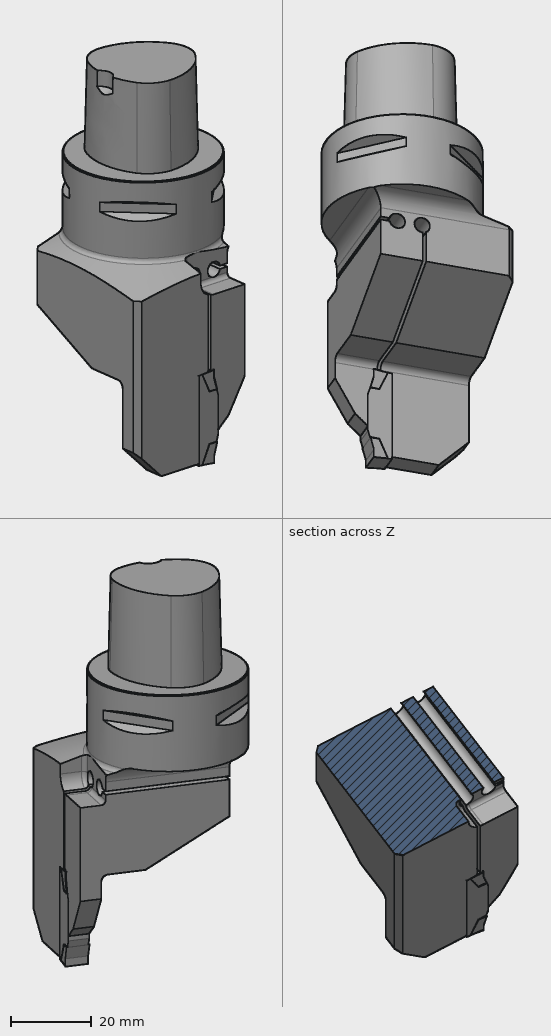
import cadquery as cq
import math


overall_length = 99

shank_height = 24.0
shank_base_radius = 14.1
lobe_eccentricity = 0.8
taper_ratio = 20
lobe_half_angle = 20

notch_radius = 3.4
notch_center_y = -14.2
notch_depth = 4.3
notch_point_angle = 120

flange_radius = 20.0
flange_height = 20.0
flange_chamfer = 0.3
groove_center_z = -8.0
groove_floor_distance = 17.6
groove_floor_height = 2.5
groove_mouth_height = 5.1
groove_count = 4

head_left = -12.6
blade_right = 26.7
head_front = -25.0
head_back = 10.1
head_bottom = -48.4
flare_radius = 4.0
slope_start_z = -37.0
slope_end_x = 9.6
front_chamfer = 1.5

shoulder_angle = 15
shoulder_top = -21.4
neck_fillet = 1.3

blade_left = 21.2
blade_middle_x = (blade_left + blade_right) / 2
blade_root_fillet = 1.7
blade_bottom = -74.1
blade_front_chamfer = 7.9
blade_back_points = [(head_back, -54.5), (4.9, -63.6), (1.7, -66.3)]

relief_left = 20.1
relief_front = -4.3
relief_floor = -30.0
relief_fillet = 4.2
relief_wall_fillet = 1.2

hole_diameter = 4.1
hole_z = -26.9
inner_hole_y = -0.8
outer_hole_y = 5.7
slot_width = 0.9
slot_center_y = -1.4

insert_front = -4.9
insert_back = 1.5
insert_top = -50.1
insert_bottom = shank_height - overall_length
insert_tip_y = 0.0
insert_tip_length = 2.2
insert_neck_y = 0.9
insert_head_length = 5.4
insert_edge_rise = 0.4
insert_shank_inset = 7.3
head_inner_y = -1.5
head_root_y = -3.8
cutting_width = 6.1

clearance = 4.95


def shank_outline(mean_radius, z):
    """Closed three-lobed outline of six arcs, with one lobe pointing to +Y."""

    def point(angle_degrees):
        angle = math.radians(angle_degrees)
        x = mean_radius * math.sin(angle) - lobe_eccentricity * math.sin(2 * angle)
        y = mean_radius * math.cos(angle) + lobe_eccentricity * math.cos(2 * angle)
        return (x, y)

    outline = cq.Workplane("XY", origin=(0, 0, z)).moveTo(*point(-lobe_half_angle))
    for lobe_center in (0, 120, 240):
        outline = outline.threePointArc(point(lobe_center), point(lobe_center + lobe_half_angle))
        outline = outline.threePointArc(point(lobe_center + 60), point(lobe_center + 120 - lobe_half_angle))
    return outline.close().wire().val()


def make_notch():
    """Drill bore with a conical end, cutting the front edge of the shank's top."""
    point_depth = notch_radius / math.tan(math.radians(notch_point_angle / 2))
    profile = [
        (0, clearance),
        (notch_radius, clearance),
        (notch_radius, -notch_depth),
        (0, -notch_depth - point_depth),
    ]
    drill = cq.Workplane("XZ").polyline(profile).close().revolve(360, (0, 0), (0, 1))
    return drill.translate((0, notch_center_y, shank_height))


def make_shank():
    """Polygon shank tapering upward, with its drilled notch."""
    top_radius = shank_base_radius - shank_height / taper_ratio / 2
    base = shank_outline(shank_base_radius, 0)
    top = shank_outline(top_radius, shank_height)
    return cq.Workplane(cq.Solid.makeLoft([base, top], True)).cut(make_notch())


def make_flange():
    """Cylindrical flange with V-sided gripper grooves cut across it at the diagonals."""
    flange = cq.Workplane("XY").circle(flange_radius).extrude(-flange_height)
    flange = flange.faces(">Z").edges().chamfer(flange_chamfer)
    half_floor = groove_floor_height / 2
    half_mouth = groove_mouth_height / 2
    groove = (
        cq.Workplane("XZ")
        .polyline([
            (groove_floor_distance, half_floor),
            (flange_radius, half_mouth),
            (flange_radius, -half_mouth),
            (groove_floor_distance, -half_floor),
        ])
        .close()
        .extrude(flange_radius, both=True)
        .translate((0, 0, groove_center_z))
    )
    for i in range(groove_count):
        angle = 360 / groove_count * (i + 0.5)
        flange = flange.cut(groove.rotate((0, 0, 0), (0, 0, 1), angle))
    return flange


def flare_arc_middle(wall, outward):
    """Point halfway along the flare from the flange underside into a vertical wall."""
    offset = flare_radius * (1 - math.sqrt(0.5))
    return (wall + outward * offset, -flange_height - offset)


def make_front_prism():
    """Head and blade outline in X and Z, extruded through the depth of the head."""
    flare_bottom = -flange_height - flare_radius
    prism = (
        cq.Workplane("XZ")
        .moveTo(head_left - flare_radius, -flange_height)
        .threePointArc(flare_arc_middle(head_left, -1), (head_left, flare_bottom))
        .lineTo(head_left, slope_start_z)
        .lineTo(slope_end_x, head_bottom)
        .lineTo(blade_left - blade_root_fillet, head_bottom)
        .radiusArc((blade_left, head_bottom - blade_root_fillet), blade_root_fillet)
        .lineTo(blade_left, blade_bottom)
        .lineTo(blade_right, blade_bottom)
        .lineTo(blade_right, -flange_height)
        .close()
        .extrude(2 * flange_radius, both=True)
    )
    return prism


def make_side_prism():
    """Head and blade outline in Y and Z, extruded through the width of the head."""
    flare_bottom = -flange_height - flare_radius
    prism = (
        cq.Workplane("YZ")
        .moveTo(head_back + flare_radius, -flange_height)
        .threePointArc(flare_arc_middle(head_back, 1), (head_back, flare_bottom))
    )
    for point in blade_back_points:
        prism = prism.lineTo(*point)
    prism = (
        prism
        .lineTo(insert_front, blade_bottom)
        .lineTo(head_front + blade_front_chamfer, blade_bottom)
        .lineTo(head_front, blade_bottom + blade_front_chamfer)
        .lineTo(head_front, -flange_height)
        .close()
        .extrude(2 * flange_radius, both=True)
    )
    return prism


def make_front_chamfer(corner_x, inward):
    """Triangular prism that breaks one upright front corner; inward is the X direction into the head."""
    reach = front_chamfer + clearance
    return (
        cq.Workplane("XY")
        .polyline([
            (corner_x + inward * reach, head_front - clearance),
            (corner_x - inward * clearance, head_front + reach),
            (corner_x - inward * clearance, head_front - clearance),
        ])
        .close()
        .extrude(blade_bottom)
    )


def make_shoulder():
    """Turned envelope of the head: the neck, then a cone falling outward from it."""
    outer_radius = 2 * flange_radius
    cone_drop = (outer_radius - flange_radius) * math.tan(math.radians(shoulder_angle))
    profile = [
        (0, -flange_height),
        (flange_radius, -flange_height),
        (flange_radius, shoulder_top),
        (outer_radius, shoulder_top - cone_drop),
        (outer_radius, blade_bottom),
        (0, blade_bottom),
    ]
    shoulder = cq.Workplane("XZ").polyline(profile).close().revolve(360, (0, 0), (0, 1))
    neck_edge = cq.selectors.RadiusNthSelector(0)
    return shoulder.edges("%CIRCLE").edges(neck_edge).edges("<Z").fillet(neck_fillet)


def make_relief():
    """Pocket that lowers the head behind the blade, with rounded inner corners."""
    size_x = blade_right + clearance - relief_left
    size_y = head_back + 2 * clearance - relief_front
    relief = (
        cq.Workplane("XY", origin=(relief_left, relief_front, relief_floor))
        .box(size_x, size_y, -flange_height - relief_floor + clearance, centered=False)
    )
    relief = relief.edges("|X and <Y and <Z").fillet(relief_fillet)
    return relief.faces("<X").edges().fillet(relief_wall_fillet)


def make_jaw_cuts():
    """Two flexure holes with their slots: one to the back face, one down to the insert."""
    through = 4 * flange_radius
    holes = (
        cq.Workplane("YZ")
        .pushPoints([(inner_hole_y, hole_z), (outer_hole_y, hole_z)])
        .circle(hole_diameter / 2)
        .extrude(through, both=True)
    )
    back_end = head_back + clearance
    back_slot = cq.Workplane("XY").box(through, back_end - outer_hole_y, slot_width)
    back_slot = back_slot.translate((0, (back_end + outer_hole_y) / 2, hole_z))
    down_slot = cq.Workplane("XY").box(through, slot_width, hole_z - insert_top)
    down_slot = down_slot.translate((0, slot_center_y, (hole_z + insert_top) / 2))
    return holes.union(back_slot).union(down_slot)


def make_holder(insert):
    """Shank, flange, head and blade in one piece, with a seat that fits the insert."""
    head = make_front_prism().intersect(make_side_prism()).intersect(make_shoulder())
    head = head.cut(make_front_chamfer(head_left, 1)).cut(make_front_chamfer(blade_right, -1))
    head = head.cut(make_relief()).cut(make_jaw_cuts())
    return make_shank().union(make_flange()).union(head).cut(insert)


def insert_plate(points, width):
    """Plate with the given outline in Y and Z, centred on the blade's thickness."""
    plate = cq.Workplane("YZ", origin=(blade_middle_x, 0, 0)).polyline(points).close()
    return plate.extrude(width / 2, both=True)


def make_side_clearance():
    """Wedge that narrows the cutting heads from their back edge to the blade's width at their root."""
    wedge = (
        cq.Workplane("XY", origin=(0, 0, insert_bottom))
        .polyline([
            (blade_middle_x - cutting_width / 2, insert_neck_y),
            (blade_middle_x + cutting_width / 2, insert_neck_y),
            (blade_right, head_root_y),
            (blade_left, head_root_y),
        ])
        .close()
        .extrude(insert_top - insert_bottom)
    )
    return wedge


def make_insert():
    """Double-ended insert: a body flush with the blade and a wider cutting head at each end."""
    middle_z = (insert_top + insert_bottom) / 2
    half_length = (insert_top - insert_bottom) / 2
    heel = half_length - insert_edge_rise
    neck = half_length - insert_head_length

    def both_ends(points):
        upper = [(y, middle_z + height) for y, height in points]
        lower = [(y, middle_z - height) for y, height in points]
        return upper, lower

    upper, lower = both_ends([
        (insert_front, heel),
        (insert_tip_y, half_length),
        (insert_tip_y, half_length - insert_tip_length),
        (insert_neck_y, neck),
        (insert_back, half_length - insert_shank_inset),
    ])
    insert = insert_plate(upper + lower[::-1], blade_right - blade_left)

    for head_points in both_ends([
        (head_root_y, heel),
        (insert_tip_y, half_length),
        (insert_tip_y, half_length - insert_tip_length),
        (insert_neck_y, neck),
        (head_inner_y, neck),
    ]):
        cutting_head = insert_plate(head_points, cutting_width).intersect(make_side_clearance())
        insert = insert.union(cutting_head)
    return insert


insert = make_insert()
holder = make_holder(insert)
result = cq.Compound.makeCompound([holder.solids().val(), insert.solids().val()])